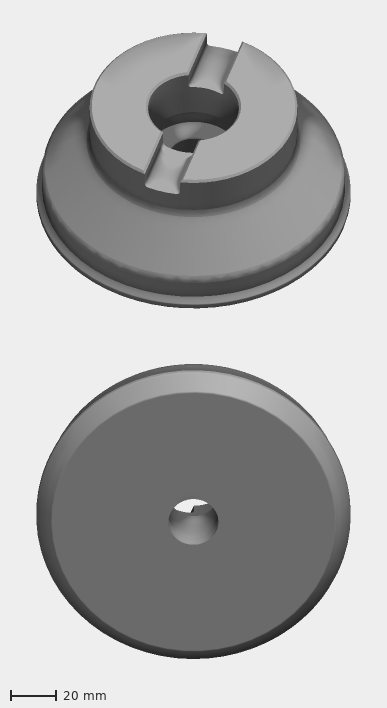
import cadquery as cq
import math

outer_radius = 69.2
total_height = 63.0

rim_bottom_height = 6.6
rim_top_height = 9.0
bottom_radius = outer_radius - rim_bottom_height
plate_fillet = 1.1
rim_fillet = 0.7

band_radius = 133.5 / 2
boss_radius = 91.5 / 2
joint_height = rim_top_height + outer_radius - band_radius
band_top_height = 22.0
boss_bottom_height = band_top_height + band_radius - boss_radius
shoulder_fillet = 4.6

bore_radius = 40.0 / 2
bore_depth = 24.7
relief_radius = 42.0 / 2
relief_depth = 31.9
hole_radius = 22.0 / 2
hole_chamfer = 0.4
top_chamfer = 1.0
slot_width = 16.3
slot_depth = 8.7
slot_fillet = 1.7
slot_floor = total_height - slot_depth
bore_bottom = total_height - bore_depth
relief_floor = total_height - relief_depth


def edge_at(radius, height):
    """Select the circular edge with the given radius and height."""
    reach = 0.07
    return cq.selectors.BoxSelector(
        (-radius - reach, -radius - reach, height - reach),
        (radius + reach, radius + reach, height + reach),
        boundingbox=True,
    )


def revolve_profile(points):
    """Turn a closed (radius, height) outline about the Z axis."""
    return cq.Workplane("XZ").polyline(points).close().revolve(360, (0, 0), (0, 1))


def make_base_plate():
    """Lower disc with a rim that is conical above and below, and a through hole."""
    plate = revolve_profile([
        (hole_radius, 0),
        (bottom_radius, 0),
        (outer_radius, rim_bottom_height),
        (outer_radius, rim_top_height),
        (band_radius, joint_height),
        (hole_radius, joint_height),
    ])
    plate = plate.edges(edge_at(outer_radius, rim_top_height)).fillet(rim_fillet)
    plate = plate.edges(edge_at(outer_radius, rim_bottom_height)).fillet(plate_fillet)
    lower_edge = plate.faces("<Z").edges(cq.selectors.RadiusNthSelector(-1))
    return lower_edge.fillet(plate_fillet)


def make_hub_blank():
    """Turned hub that stands on the base plate, with a relieved bore and a centre hole."""
    hub = revolve_profile([
        (hole_radius, joint_height),
        (band_radius, joint_height),
        (band_radius, band_top_height),
        (boss_radius, boss_bottom_height),
        (boss_radius, total_height),
        (bore_radius, total_height),
        (bore_radius, bore_bottom),
        (relief_radius, bore_bottom),
        (relief_radius, relief_floor),
        (hole_radius, relief_floor),
    ])
    hub = hub.edges(edge_at(band_radius, band_top_height)).fillet(shoulder_fillet)
    hub = hub.edges(edge_at(boss_radius, boss_bottom_height)).fillet(shoulder_fillet)
    hub = hub.faces(">Z").edges().chamfer(top_chamfer)
    return hub.edges(edge_at(hole_radius, relief_floor)).chamfer(hole_chamfer)


def make_slot_cutter():
    """Slot along Y with rounded floor corners and flared top edges."""
    half_width = slot_width / 2
    half_floor = half_width - slot_fillet
    half_mouth = half_width + top_chamfer
    arc_offset = slot_fillet * math.sin(math.radians(45))
    arc_x = half_floor + arc_offset
    arc_z = slot_floor + slot_fillet - arc_offset
    profile = (
        cq.Workplane("XZ")
        .moveTo(-half_floor, slot_floor)
        .lineTo(half_floor, slot_floor)
        .threePointArc((arc_x, arc_z), (half_width, slot_floor + slot_fillet))
        .lineTo(half_width, total_height - top_chamfer)
        .lineTo(half_mouth, total_height)
        .lineTo(-half_mouth, total_height)
        .lineTo(-half_width, total_height - top_chamfer)
        .lineTo(-half_width, slot_floor + slot_fillet)
        .threePointArc((-arc_x, arc_z), (-half_floor, slot_floor))
        .close()
    )
    return profile.extrude(outer_radius, both=True)


base_plate = make_base_plate()
hub = make_hub_blank().cut(make_slot_cutter())

result = cq.Compound.makeCompound([base_plate.val(), hub.val()])